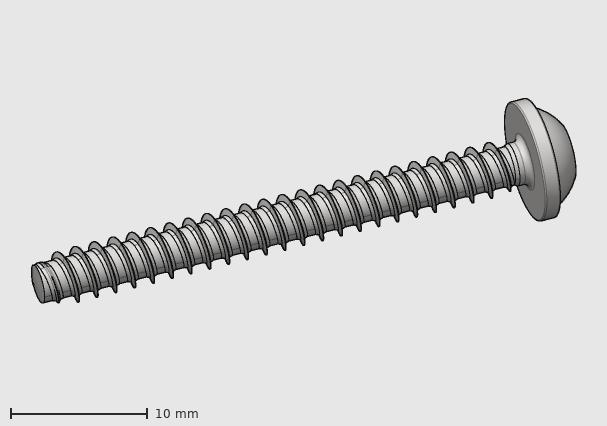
import cadquery as cq
import math

total_length = 41.1
head_top = total_length / 2

flange_diameter = 9.0
flange_thickness = 1.2
flange_edge_round = 0.103
dome_height = 2.0
dome_top_radius = 2.18
dome_base_radius = 3.9

neck_radius = 1.6
neck_fillet = 0.55
neck_end_depth = 4.15
neck_taper_length = 0.3

core_radius = 1.45
tip_cone_height = 0.1

thread_start_depth = 3.9
thread_length = 36.5
thread_turns = 25
fade_turns = 1
runout_turns = 3 / 8
runout_end_scale = 0.2
crest_radius = 2.0
crest_half_width = 0.02
flank_angle = 15
flare_angle = 20
flare_height = 0.1
root_overlap = 0.05
points_per_turn = 16

flange_radius = flange_diameter / 2
flange_top_depth = dome_height
flange_bottom_depth = dome_height + flange_thickness
pitch = thread_length / thread_turns
shoulder_radius = core_radius + flare_height
shoulder_half_width = crest_half_width + (crest_radius - shoulder_radius) * math.tan(math.radians(flank_angle))
root_radius = core_radius - root_overlap
root_half_width = shoulder_half_width + (flare_height + root_overlap) / math.tan(math.radians(flare_angle))


def dome_mid_point():
    """Point halfway down the dome, whose sphere is centred on the screw axis."""
    center_depth = (dome_base_radius**2 - dome_top_radius**2 + dome_height**2) / (2 * dome_height)
    sphere_radius = math.hypot(dome_top_radius, center_depth)
    mid_depth = dome_height / 2
    mid_radius = math.sqrt(sphere_radius**2 - (center_depth - mid_depth) ** 2)
    return mid_radius, head_top - mid_depth


def make_body():
    """Head, neck and plain shank, revolved about the Y axis."""
    flange_top = head_top - flange_top_depth
    flange_bottom = head_top - flange_bottom_depth
    neck_end = head_top - neck_end_depth
    tip = head_top - total_length
    fillet_corner = neck_fillet * (1 - math.sqrt(0.5))
    profile = (
        cq.Workplane("XY")
        .moveTo(0, head_top)
        .lineTo(dome_top_radius, head_top)
        .threePointArc(dome_mid_point(), (dome_base_radius, flange_top))
        .lineTo(flange_radius - flange_edge_round, flange_top)
        .radiusArc((flange_radius, flange_top - flange_edge_round), flange_edge_round)
        .lineTo(flange_radius, flange_bottom + flange_edge_round)
        .radiusArc((flange_radius - flange_edge_round, flange_bottom), flange_edge_round)
        .lineTo(neck_radius + neck_fillet, flange_bottom)
        .threePointArc(
            (neck_radius + fillet_corner, flange_bottom - fillet_corner),
            (neck_radius, flange_bottom - neck_fillet),
        )
        .lineTo(neck_radius, neck_end)
        .lineTo(core_radius, neck_end - neck_taper_length)
        .lineTo(core_radius, tip + tip_cone_height)
        .lineTo(0, tip)
        .close()
    )
    return profile.revolve(360, (0, 0, 0), (0, 1, 0))


def crest_radius_at(turn):
    """Crest radius at a turn count; it sinks to the shoulder at both thread ends."""
    turns_from_end = max(0, min(turn, thread_turns - turn))
    fade = min(1, turns_from_end / fade_turns)
    return shoulder_radius + fade * (crest_radius - shoulder_radius)


def runout_scale(turn):
    """Scale of the thread section: full size along the thread, shrinking along the run-out at the tip."""
    runout_progress = max(0, turn - thread_turns) / runout_turns
    return 1 - runout_progress * (1 - runout_end_scale)


def thread_edge(radius_at, axial_offset, first_turn, turns):
    """Helical edge of the thread, turning from +Z towards -X while it advances to the tip."""
    steps = round(turns * points_per_turn)
    points = []
    for i in range(steps + 1):
        turn = first_turn + i / points_per_turn
        angle = 2 * math.pi * turn
        scale = runout_scale(turn)
        radius = core_radius + scale * (radius_at(turn) - core_radius)
        y = head_top - thread_start_depth - pitch * turn + scale * axial_offset
        points.append(cq.Vector(-radius * math.sin(angle), y, radius * math.cos(angle)))
    return cq.Edge.makeSpline(points)


def make_thread_piece(first_turn, turns):
    """Piece of the thread ridge, bounded by ruled helical faces and a flat cap at each end."""
    section = [
        (lambda turn: root_radius, root_half_width),
        (lambda turn: shoulder_radius, shoulder_half_width),
        (crest_radius_at, crest_half_width),
        (crest_radius_at, -crest_half_width),
        (lambda turn: shoulder_radius, -shoulder_half_width),
        (lambda turn: root_radius, -root_half_width),
    ]
    edges = [thread_edge(radius_at, offset, first_turn, turns) for radius_at, offset in section]
    next_edges = edges[1:] + edges[:1]
    faces = [cq.Face.makeRuledSurface(a, b) for a, b in zip(edges, next_edges)]
    for end in (0, 1):
        corners = [edge.positionAt(end) for edge in edges]
        faces.append(cq.Face.makeFromWires(cq.Wire.makePolygon(corners, close=True)))
    return cq.Solid.makeSolid(cq.Shell.makeShell(faces))


thread = [make_thread_piece(turn, 1) for turn in range(thread_turns)]
runout = make_thread_piece(thread_turns, runout_turns)
screw = make_body().val().fuse(*thread, runout)
result = cq.Workplane(screw.Solids()[0])